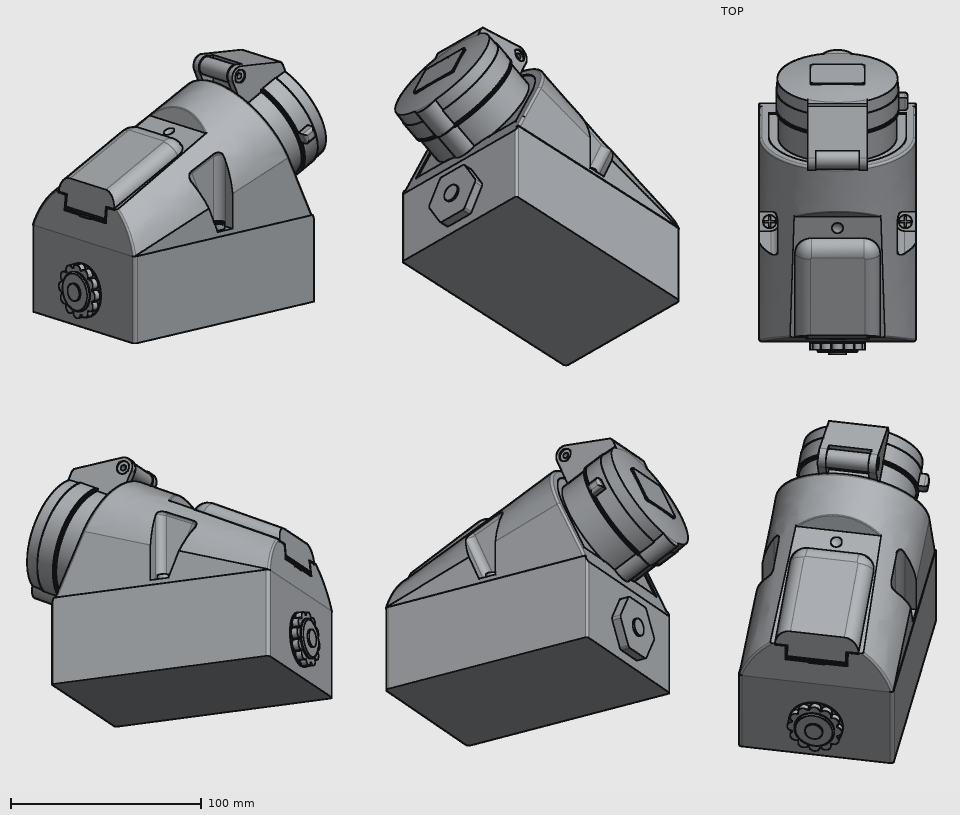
import cadquery as cq
import math


TILT = 25.0
COS_T = math.cos(math.radians(TILT))
SIN_T = math.sin(math.radians(TILT))

box_width = 83.0
box_length = 125.4
box_height = 47.5
front_corner_radius = 2.0
back_corner_radius = 1.3
flank_setback = 0.3
upper_half_width = box_width / 2 - flank_setback
front_arch_top = 76.2
rim_base_z = 44.2
rim_spring = 42.1
rim_top = 81.3
below_base = 64.0
front_lean = 6.0
LEAN_SLOPE = math.tan(math.radians(front_lean))
rim_recess_half_width = 36.2
rim_recess_base = 12.2
rim_recess_depth = 0.8
rim_round = 1.3
front_round = 1.3

deck_y = 65.6
deck_z = 99.0
step_lean = 17.0
step_round = 0.8
dimple_distance = 6.5
dimple_diameter = 6.0
dimple_depth = 1.0

cover_half_width = 22.4
cover_height = 7.4
cover_start = 12.5
cover_corner = 8.6
cover_round = 8.0
tab_half_width = 15.7
tab_top = 69.2
tab_bottom = 61.3
tab_gap = 1.0
tab_gap_depth = 1.1
tab_bevel = 1.3
notch_half_width = 4.2

socket_height = 40.7
socket_radius = 31.2
lid_radius = 32.3
lid_start = 15.7
lid_band = 26.4
lid_end = 33.3
lid_taper = 0.3
lid_dome = 2.4
seam_gap = 0.8
keel_radius = 8.0
keel_rise = 3.4
label_width = 28.5
label_height = 23.2
label_rise = 0.3
label_corner = 1.6
catch_reach = 37.0
catch_start = 16.3
catch_length = 7.4
catch_height = 6.4
catch_round = 1.6

pivot_y = 95.6
hinge_top = 128.5
ear_radius = 11.0 / 2
pivot_z = hinge_top - ear_radius
hinge_half_width = 15.7
hinge_rim_gap = 0.5
hinge_root = 60.8
hinge_lip = 72.7
hinge_crest = 74.6
hinge_overhang = 0.3
knuckle_half_width = 11.4
knuckle_overlap = 0.3
knuckle_radius = 5.0
pin_hole_diameter = 3.0
pin_recess_diameter = 7.0
pin_recess_depth = 0.8

pocket_inner_x = 30.6
pocket_floor = 50.3
pocket_back_y = 68.4
pocket_back_top = 92.2
pocket_front_y = 44.2
pocket_front_top = 82.0
pocket_floor_front_y = 58.1
pocket_round = 4.5
pocket_corner = 2.0
screw_x = 35.7
screw_y = 63.1
screw_diameter = 7.0
screw_height = 3.2
screw_slot_length = 5.6
screw_slot_width = 1.1
screw_slot_depth = 1.0

entry_z = 20.5
knob_diameter = 29.1
knob_base = 0.8
knob_thickness = 4.3
lobe_count = 12
lobe_diameter = 6.0
knob_core_diameter = 25.0
crown_diameter = 21.5
crown_top = 5.8
crown_chamfer = 0.8
stub_diameter = 9.5
knob_top = 6.7
nut_flats = 29.6
nut_thickness = 5.3
nut_corner_round = 2.0
nut_stub_top = 6.4

rim_plane = cq.Plane(
    origin=(0, box_length, rim_base_z), xDir=(-1, 0, 0), normal=(0, COS_T, SIN_T)
)
deck_plane = cq.Plane(origin=(0, deck_y, deck_z), xDir=(1, 0, 0), normal=(0, -SIN_T, COS_T))


def rim_frame(distance):
    """Workplane across the socket axis, centred on it."""
    return cq.Workplane(rim_plane).center(0, socket_height).workplane(offset=distance)


def rim_point(along, up):
    """(Y, Z) of a point given along the socket axis and up the rim plane."""
    return (
        box_length + along * COS_T - up * SIN_T,
        rim_base_z + along * SIN_T + up * COS_T,
    )


def across(half_width):
    """Side-outline workplane from which an extrusion of twice half_width is centred."""
    return cq.Workplane("YZ", origin=(-half_width, 0, 0))


def arch_section(plane, spring, top, bottom):
    w = upper_half_width
    return (
        cq.Workplane(plane)
        .moveTo(-w, bottom)
        .lineTo(-w, spring)
        .threePointArc((0, top), (w, spring))
        .lineTo(w, bottom)
        .close()
        .wire()
        .val()
    )


def make_housing():
    front_plane = cq.Plane(origin=(0, 0, 0), xDir=(-1, 0, 0), normal=(0, 1, 0))
    sections = [
        arch_section(front_plane, box_height, front_arch_top, -below_base),
        arch_section(rim_plane, rim_spring, rim_top, -below_base),
    ]
    upper = cq.Workplane(obj=cq.Solid.makeLoft(sections, True))
    step_rise = 32.0
    step_depth = step_rise * math.tan(math.radians(step_lean))
    deck_slope = SIN_T / COS_T
    deck_z_at_front = deck_z - deck_y * deck_slope
    wall_rise = (deck_z_at_front - box_height) / (1 - LEAN_SLOPE * deck_slope)
    front_top_z = box_height + wall_rise
    front_top_y = wall_rise * LEAN_SLOPE
    outline = [
        (0, box_height),
        (front_top_y, front_top_z),
        (deck_y, deck_z),
        (deck_y + step_depth, deck_z + step_rise),
        (box_length, deck_z + step_rise),
        (box_length, box_height),
    ]
    envelope = across(box_width / 2).polyline(outline).close().extrude(box_width)
    upper = upper.intersect(envelope)
    rim_face = upper.faces(cq.selectors.DirectionMinMaxSelector(cq.Vector(0, COS_T, SIN_T)))
    upper = upper.newObject(rim_face.edges("not(|X and <Z)").vals()).fillet(rim_round)
    margin = 0.3
    arch_low = (-box_width, -margin, box_height - margin)
    arch_high = (box_width, front_top_y + margin, front_top_z + margin)
    front_arch = upper.edges(cq.selectors.BoxSelector(arch_low, arch_high)).edges("not |X")
    upper = upper.newObject(front_arch.vals()).fillet(front_round)
    step_low = (-box_width, deck_y + margin, deck_z)
    step_high = (box_width, deck_y + step_depth, rim_base_z + rim_top)
    step_arch = upper.edges(cq.selectors.BoxSelector(step_low, step_high))
    step_arch = step_arch.edges("not |X").edges(">Z")
    upper = upper.newObject(step_arch.vals()).fillet(step_round)
    box = (
        cq.Workplane("XY")
        .box(box_width, box_length, box_height, centered=(True, False, False))
        .edges("|Z and <Y")
        .fillet(front_corner_radius)
        .edges("|Z and >Y")
        .fillet(back_corner_radius)
    )
    beyond_rim = cq.Workplane(rim_plane).rect(2 * box_width, box_width).extrude(box_width)
    box = box.cut(beyond_rim)
    return upper.union(box)


def rim_recess():
    """Shallow pocket in the rim, arched like the rim itself."""
    w = rim_recess_half_width
    top = rim_top - (upper_half_width - w)
    return (
        cq.Workplane(rim_plane)
        .moveTo(-w, rim_recess_base)
        .lineTo(-w, rim_spring)
        .threePointArc((0, top), (w, rim_spring))
        .lineTo(w, rim_recess_base)
        .close()
        .extrude(-rim_recess_depth)
    )


def deck_dimple():
    """Spherical hollow between the step and the front cover."""
    half_chord = dimple_diameter / 2
    ball = (half_chord**2 + dimple_depth**2) / (2 * dimple_depth)
    return (
        cq.Workplane(deck_plane)
        .center(0, -dimple_distance)
        .workplane(offset=ball - dimple_depth)
        .sphere(ball)
    )


def make_cover():
    """Rounded cover on the deck, cut flush with the leaning front wall."""
    overrun = 12.8
    length = deck_y / COS_T - cover_start + overrun
    sunk = 1.6
    cover = (
        cq.Workplane(deck_plane)
        .workplane(offset=-sunk)
        .center(0, -cover_start - length / 2)
        .rect(2 * cover_half_width, length)
        .extrude(cover_height + sunk)
    )
    normal = cq.Vector(0, -SIN_T, COS_T)
    upslope = cq.Vector(0, COS_T, SIN_T)
    corners = cover.faces(cq.selectors.DirectionMinMaxSelector(upslope))
    corners = corners.edges(cq.selectors.ParallelDirSelector(normal))
    cover = cover.newObject(corners.vals()).fillet(cover_corner)
    top_face = cover.faces(cq.selectors.DirectionMinMaxSelector(normal))
    lower_end = cq.selectors.DirectionMinMaxSelector(upslope, False)
    top_edges = top_face.edges().edges(cq.selectors.InverseSelector(lower_end))
    cover = cover.newObject(top_edges.vals()).fillet(cover_round)
    reach = 64.0
    behind_wall = (
        across(box_width / 2)
        .polyline([
            (0, box_height),
            (reach * LEAN_SLOPE, box_height + reach),
            (deck_y, box_height + reach),
            (deck_y, box_height),
        ])
        .close()
        .extrude(box_width)
    )
    return cover.intersect(behind_wall)


def tab_groove():
    """Stepped gap around the cover tab in the leaning front wall."""
    outer = tab_half_width + tab_gap
    low = tab_bottom - tab_gap
    ledge = cover_half_width
    wall_plane = cq.Plane(
        origin=(0, 0, box_height),
        xDir=(1, 0, 0),
        normal=(0, -math.cos(math.radians(front_lean)), math.sin(math.radians(front_lean))),
    )
    h_top = tab_top - box_height
    h_low = low - box_height
    h_bottom = tab_bottom - box_height
    right = [
        (outer, h_low),
        (outer, h_top - tab_gap / 2),
        (ledge, h_top - tab_gap / 2),
        (ledge, h_top),
        (tab_half_width, h_top),
        (tab_half_width, h_bottom),
    ]
    left = [(-x, z) for x, z in reversed(right)]
    groove = cq.Workplane(wall_plane).polyline(right + left).close().extrude(-tab_gap_depth)
    notch = (
        cq.Workplane(wall_plane)
        .center(0, h_low)
        .rect(2 * notch_half_width, tab_gap)
        .extrude(-tab_gap_depth)
    )
    bevel_top = tab_bottom + tab_bevel
    bevel = (
        across(tab_half_width)
        .polyline([
            ((bevel_top - box_height) * LEAN_SLOPE, bevel_top),
            ((tab_bottom - box_height) * LEAN_SLOPE + tab_bevel / 2, tab_bottom),
            (0, tab_bottom),
        ])
        .close()
        .extrude(2 * tab_half_width)
    )
    return groove.union(notch).union(bevel)


def make_socket():
    root = 9.6
    seam_end = lid_start + seam_gap
    body = rim_frame(-root).circle(socket_radius).extrude(root + seam_end)
    profile = [
        (0, seam_end),
        (lid_radius, seam_end),
        (lid_radius, lid_band),
        (lid_radius - lid_taper, lid_band),
        (lid_radius - 2 * lid_taper, lid_end),
    ]
    dome_mid_share = 0.75
    dome_mid = (lid_radius / 2, lid_end + dome_mid_share * lid_dome)
    axis_plane = cq.Plane(
        origin=rim_frame(0).plane.origin.toTuple(), xDir=(1, 0, 0), normal=(0, -SIN_T, COS_T)
    )
    lid = (
        cq.Workplane(axis_plane)
        .polyline(profile)
        .threePointArc(dome_mid, (0, lid_end + lid_dome))
        .close()
        .revolve(360, (0, 0, 0), (0, 1, 0))
    )
    ring = rim_frame(lid_start - seam_gap).circle(lid_radius).extrude(seam_gap)
    socket = body.union(ring).union(lid)
    for radius, start, end in (
        (socket_radius, -root, lid_start),
        (lid_radius, lid_start, lid_end),
    ):
        drop = radius + keel_rise - keel_radius
        keel = rim_frame(start).center(0, -drop).circle(keel_radius).extrude(end - start)
        socket = socket.union(keel)
    label = (
        rim_frame(lid_end)
        .rect(label_width, label_height)
        .extrude(lid_dome + label_rise)
        .edges(cq.selectors.ParallelDirSelector(rim_plane.zDir))
        .fillet(label_corner)
    )
    catch_middle = rim_frame(catch_start + catch_length / 2).plane.origin
    catch = (
        cq.Workplane(cq.Plane(catch_middle.toTuple(), xDir=(0, COS_T, SIN_T), normal=(1, 0, 0)))
        .rect(catch_length, catch_height)
        .extrude(catch_reach)
        .faces(">X")
        .edges()
        .fillet(catch_round)
    )
    return socket.union(label).union(catch)


def make_hinge():
    outline = [
        rim_point(hinge_rim_gap, hinge_root),
        rim_point(lid_end, hinge_root),
        rim_point(lid_end + hinge_overhang, hinge_lip),
        rim_point(lid_end - hinge_overhang, hinge_crest),
        (pivot_y, pivot_z + ear_radius),
        (pivot_y, pivot_z),
        (pivot_y - ear_radius * COS_T, pivot_z - ear_radius * SIN_T),
    ]
    full_width = 2 * hinge_half_width
    knuckle_width = 2 * knuckle_half_width
    plate = across(hinge_half_width).polyline(outline).close().extrude(full_width)
    ears = across(hinge_half_width).center(pivot_y, pivot_z).circle(ear_radius).extrude(full_width)
    pivot = across(knuckle_half_width).center(pivot_y, pivot_z)
    knuckle = pivot.circle(knuckle_radius).extrude(knuckle_width)
    slot_size = 4 * ear_radius
    slot_end = knuckle_radius - knuckle_overlap
    slot = (
        pivot.center(slot_end - slot_size / 2, 0)
        .rect(slot_size, slot_size)
        .extrude(knuckle_width)
    )
    return plate.union(ears).cut(slot).union(knuckle)


def hinge_pin_hole():
    hole = (
        across(hinge_half_width)
        .center(pivot_y, pivot_z)
        .circle(pin_hole_diameter / 2)
        .extrude(2 * hinge_half_width)
    )
    for side in (-1, 1):
        recess = (
            across(side * hinge_half_width)
            .center(pivot_y, pivot_z)
            .circle(pin_recess_diameter / 2)
            .extrude(side * pin_recess_depth)
        )
        hole = hole.union(recess)
    return hole


def screw_pocket(side):
    """Pocket in one flank, open to the outside, with a flat floor."""
    outline = [
        (pocket_back_y, pocket_floor),
        (pocket_back_y, pocket_back_top),
        (pocket_front_y, pocket_front_top),
        (pocket_floor_front_y, pocket_floor),
    ]
    pocket = (
        cq.Workplane("YZ", origin=(side * pocket_inner_x, 0, 0))
        .polyline(outline)
        .close()
        .extrude(side * (box_width / 2 - pocket_inner_x))
    )
    inner_face = "<X" if side > 0 else ">X"
    pocket = pocket.faces(inner_face).edges("not (<Z or >Z)").fillet(pocket_round)
    return pocket.edges("|X").edges(">Z or <Y").fillet(pocket_corner)


def make_screw(side):
    """Cross-slotted screw head standing on the pocket floor."""
    base = cq.Workplane("XY", origin=(side * screw_x, screw_y, pocket_floor))
    head = base.circle(screw_diameter / 2).extrude(screw_height)
    for angle in (0, 90):
        slot = (
            base.workplane(offset=screw_height - screw_slot_depth)
            .transformed(rotate=(0, 0, angle))
            .rect(screw_slot_length, screw_slot_width)
            .extrude(screw_slot_depth)
        )
        head = head.cut(slot)
    return head


def make_knob():
    """Lobed plug on the front wall, stacked outward along -Y."""
    face = cq.Workplane("XZ").center(0, entry_z)
    knob = face.circle(knob_diameter / 2).extrude(knob_base)
    knob = knob.union(face.circle(knob_core_diameter / 2).extrude(knob_thickness))
    lobe_ring = (knob_diameter - lobe_diameter) / 2
    lobes = (
        face.polarArray(lobe_ring, 0, 360, lobe_count)
        .circle(lobe_diameter / 2)
        .extrude(knob_thickness)
    )
    crown = face.circle(crown_diameter / 2).extrude(crown_top).faces("<Y").chamfer(crown_chamfer)
    stub = face.circle(stub_diameter / 2).extrude(knob_top)
    return knob.union(lobes).union(crown).union(stub)


def make_nut():
    """Hexagonal plug on the back wall with its corners at the two sides."""
    face = cq.Workplane("XZ", origin=(0, box_length, entry_z))
    nut = (
        face.polygon(6, nut_flats / math.cos(math.pi / 6))
        .extrude(-nut_thickness)
        .edges("|Y")
        .fillet(nut_corner_round)
    )
    return nut.union(face.circle(stub_diameter / 2).extrude(-nut_stub_top))


result = make_housing().cut(rim_recess()).cut(deck_dimple())
result = result.union(make_cover()).cut(tab_groove())
result = result.union(make_socket()).union(make_hinge()).cut(hinge_pin_hole())
for flank in (-1, 1):
    result = result.cut(screw_pocket(flank)).union(make_screw(flank))
result = result.union(make_knob()).union(make_nut())